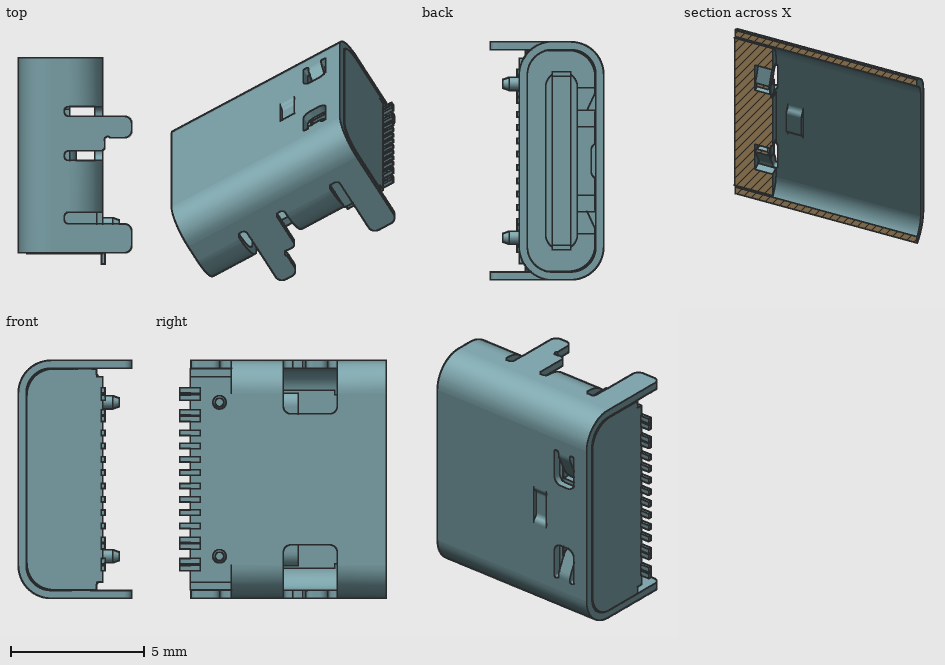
import cadquery as cq
import math


shell_width = 8.94
shell_height = 3.17
shell_length = 7.33
shell_radius = 1.24
sheet = 0.3
shell_top = shell_width / 2
inner_face = shell_top - sheet
flat_end = shell_height - shell_radius

leg_end = 4.26
leg_corner = 0.28
slot_bottom = 1.73
rear_leg_front = 1.09
rear_opening_front = 1.52
notch_rear = 3.47
notch_front = 5.49
front_leg_rear = 3.83
front_leg_step = 4.32
front_leg_front = 5.13
step_end = 3.25
step_fillet = 0.15
relief_x = 3.36
relief_y = 4.25
relief_radius = 0.12
slot_fillet = 0.15
notch_bottom = 2.46
notch_fillet = 0.28

dimple_rear = 1.985
dimple_length = 0.62
dimple_half = 0.77
dimple_floor_half = 0.41
dimple_depth = 0.17

window_rear = 0.62
window_length = 0.965
window_inner = 1.29
window_outer = 2.745
window_corner = 0.32
finger_width = 0.55
finger_root = 2.65
finger_bend_end = 2.42
finger_tip = 1.55
finger_angle = math.radians(25)
finger_tip_fillet = 0.25
window_end_fillet = 0.09
finger_mid = window_rear + window_length / 2
finger_rear = finger_mid - finger_width / 2
finger_front = finger_mid + finger_width / 2

body_gap = 0.02
body_radius = 0.98
body_overhang = 0.03
body_shoulder = 2.94
foot_half = 3.85
finger_pocket_width = 0.59
finger_pocket_inner = 1.44
finger_pocket_open_from = 1.9
window_side_front = 1.45
tongue_width = 6.69
tongue_thickness = 0.7
tongue_tip = 6.705
tongue_step = 5.4
tongue_tip_width = 6.33
base_thickness = 1.2
base_front = 4.02
base_fillet = 0.59
base_face = (shell_height - base_thickness) / 2

peg_spacing = 5.775
peg_y = 1.07
peg_diameter = 0.5
peg_tip_diameter = 0.32
peg_taper_start = 3.55
peg_end = 3.8

lead_offsets = (0.25, 0.75, 1.25, 1.74, 2.27, 2.51, 3.07, 3.335)
lead_width = 0.21
lead_thickness = 0.14
lead_bottom = 3.12
lead_overhang = 0.42
lead_embed = 0.36


def block(x0, x1, y0, y1, z0, z1):
    size = (x1 - x0, y1 - y0, z1 - z0)
    return cq.Workplane("XY").box(*size, centered=False).translate((x0, y0, z0))


def mirrored(shape):
    """The shape together with its copy on the other side of the mid plane."""
    return shape.union(shape.mirror("XY"))


def rounded_bar(x0, x1, z_half, y0, y1, radius):
    bar = block(x0, x1, y0, y1, -z_half, z_half)
    return bar.edges("|Y").fillet(radius)


def leg_plate(y0, y1, x_end):
    return block(flat_end, x_end, y0, y1, inner_face, shell_top)


def make_legs():
    rear = leg_plate(0, rear_leg_front, leg_end)
    rear = rear.edges("|Z and >X").fillet(leg_corner)
    front = leg_plate(front_leg_step, front_leg_front, leg_end)
    front = front.edges("|Z and >X").fillet(leg_corner)
    step = leg_plate(front_leg_rear, front_leg_front, step_end)
    step = step.edges("|Z and >X and <Y").fillet(step_fillet)
    relief = cq.Workplane("XY", origin=(relief_x, relief_y, inner_face))
    relief = relief.circle(relief_radius).extrude(sheet)
    return mirrored(rear.union(front).union(step).cut(relief))


def leg_slot(y0, y1):
    """Round-ended slot in the flat side wall, next to a leg."""
    slot = block(slot_bottom, shell_height, y0, y1, inner_face, shell_top)
    return mirrored(slot.edges("|Z and <X").fillet(slot_fillet))


def corner_notch():
    """Opening in the rounded corners that the front legs are unfolded from."""
    notch = block(flat_end, shell_height, notch_rear, notch_front, notch_bottom, shell_top)
    return mirrored(notch.edges("|X and <Z").fillet(notch_fillet))


def make_shell():
    tube = rounded_bar(0, shell_height, shell_top, 0, shell_length, shell_radius)
    bore_radius = shell_radius - sheet
    bore = rounded_bar(sheet, shell_height - sheet, inner_face, 0, shell_length, bore_radius)
    tube = tube.cut(bore)
    tube = tube.cut(corner_notch())
    tube = tube.cut(block(flat_end, shell_height, 0, rear_opening_front, -shell_top, shell_top))
    tube = tube.union(make_legs())
    tube = tube.cut(leg_slot(rear_leg_front, rear_opening_front))
    tube = tube.cut(leg_slot(notch_rear, front_leg_rear))
    return tube.cut(leg_slot(front_leg_front, notch_front))


def dimple_form(x_start):
    """Pressed form with S-shaped ends, sunk from the plane at x_start."""
    run = dimple_half - dimple_floor_half
    arc_angle = 2 * math.atan(dimple_depth / run)
    arc_radius = run / (2 * math.sin(arc_angle))
    x_floor = x_start + dimple_depth
    x_mid = x_start + dimple_depth / 2
    z_mid = dimple_half - run / 2
    half_rise = arc_radius * (1 - math.cos(arc_angle / 2))
    half_run = arc_radius * math.sin(arc_angle / 2)
    rim_point = (x_start + half_rise, dimple_half - half_run)
    floor_point = (x_floor - half_rise, dimple_floor_half + half_run)
    return (
        cq.Workplane("XZ", origin=(0, dimple_rear + dimple_length, 0))
        .moveTo(x_start, dimple_half)
        .threePointArc(rim_point, (x_mid, z_mid))
        .threePointArc(floor_point, (x_floor, dimple_floor_half))
        .lineTo(x_floor, -dimple_floor_half)
        .threePointArc((floor_point[0], -floor_point[1]), (x_mid, -z_mid))
        .threePointArc((rim_point[0], -rim_point[1]), (x_start, -dimple_half))
        .close()
        .extrude(dimple_length)
    )


def make_windows():
    """U-shaped openings that leave a finger standing between two round-ended slots."""
    window = block(0, sheet, window_rear, window_rear + window_length, window_inner, window_outer)
    window = window.edges("|X and <Z").fillet(window_corner)
    window = window.cut(block(0, sheet, finger_rear, finger_front, finger_root, window_outer))
    window = window.edges("|X and >Z").fillet(window_end_fillet)
    return mirrored(window)


def make_fingers():
    """Spring fingers bent inwards from their roots, with round tips."""
    outer_radius = (finger_root - finger_bend_end) / math.sin(finger_angle)
    inner_radius = outer_radius - sheet
    slope_length = (finger_bend_end - finger_tip) / math.cos(finger_angle)

    def bend(radius, angle):
        x = outer_radius - radius * math.cos(angle)
        return (x, finger_root - radius * math.sin(angle))

    def tip(radius):
        x, z = bend(radius, finger_angle)
        return (x + slope_length * math.sin(finger_angle), z - slope_length * math.cos(finger_angle))

    profile = (
        cq.Workplane("XZ", origin=(0, finger_front, 0))
        .moveTo(0, window_outer)
        .lineTo(0, finger_root)
        .threePointArc(bend(outer_radius, finger_angle / 2), bend(outer_radius, finger_angle))
        .lineTo(*tip(outer_radius))
        .lineTo(*tip(inner_radius))
        .lineTo(*bend(inner_radius, finger_angle))
        .threePointArc(bend(inner_radius, finger_angle / 2), (sheet, finger_root))
        .lineTo(sheet, window_outer)
        .close()
        .extrude(finger_width)
    )
    outline = block(0, shell_height, finger_rear, finger_front, finger_tip, window_outer)
    outline = outline.edges("|X and <Z").fillet(finger_tip_fillet)
    return mirrored(profile.intersect(outline))


def finger_pocket():
    """Room in the body for a bent finger, open to the front beyond its inner end.

    Its floor lies flush with the face of the tongue base.
    """
    x0 = sheet + body_gap
    x1 = base_face
    y0 = finger_mid - finger_pocket_width / 2
    y1 = finger_mid + finger_pocket_width / 2
    z1 = window_outer
    pocket = block(x0, x1, y0, y1, finger_pocket_inner, z1)
    front_opening = block(x0, x1, y0, rear_opening_front, finger_pocket_open_from, z1)
    front_recess = block(x0, x1, window_side_front, rear_opening_front, window_inner, z1)
    return mirrored(pocket.union(front_opening).union(front_recess))


def make_body():
    x_bottom = sheet + body_gap
    z_half = inner_face - body_gap
    body = block(x_bottom, body_shoulder, -body_overhang, rear_opening_front, -z_half, z_half)
    body = body.edges("|Y and <X").fillet(body_radius)
    foot = block(body_shoulder, shell_height, -body_overhang, rear_opening_front, -foot_half, foot_half)
    return body.union(foot).cut(finger_pocket()).union(make_tongue())


def tongue_section(thickness, width, y_end):
    middle = shell_height / 2
    half = thickness / 2
    return block(middle - half, middle + half, rear_opening_front, y_end, -width / 2, width / 2)


def make_tongue():
    blade = tongue_section(tongue_thickness, tongue_width, tongue_step)
    tip = tongue_section(tongue_thickness, tongue_tip_width, tongue_tip)
    base = tongue_section(base_thickness, tongue_width, base_front).edges("|Y").fillet(base_fillet)
    return blade.union(tip).union(base)


def make_pegs():
    peg = (
        cq.Workplane("XY")
        .moveTo(body_shoulder, 0)
        .lineTo(body_shoulder, -peg_diameter / 2)
        .lineTo(peg_taper_start, -peg_diameter / 2)
        .lineTo(peg_end, -peg_tip_diameter / 2)
        .lineTo(peg_end, 0)
        .close()
        .revolve(360, (0, 0, 0), (1, 0, 0))
    )
    return mirrored(peg.translate((0, peg_y, peg_spacing / 2)))


def make_leads():
    leads = cq.Workplane("XY")
    for offset in lead_offsets:
        lead = block(
            lead_bottom,
            lead_bottom + lead_thickness,
            -lead_overhang,
            lead_embed,
            offset - lead_width / 2,
            offset + lead_width / 2,
        )
        leads = leads.union(mirrored(lead))
    return leads


shell = make_shell().cut(dimple_form(0)).union(dimple_form(sheet))
shell = shell.cut(make_windows()).union(make_fingers())
result = shell.union(make_body()).union(make_pegs()).union(make_leads())